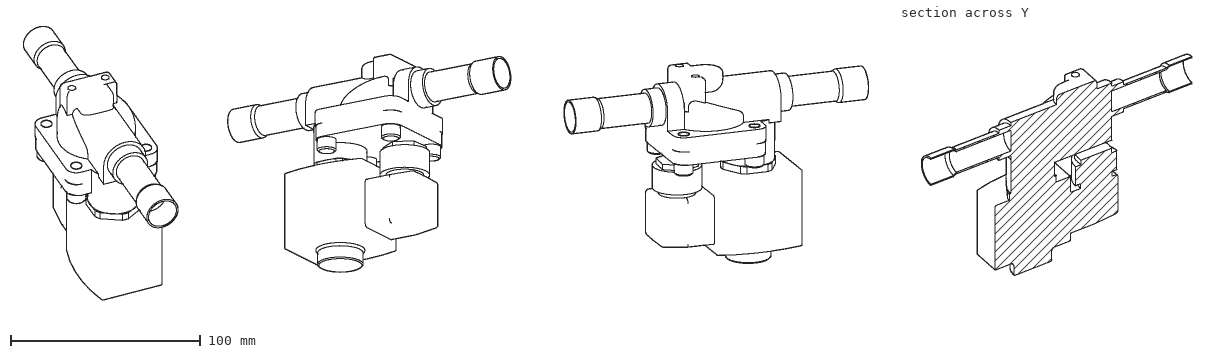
import cadquery as cq
import math


pipe_length = 165.0
socket_length = 14.4
socket_cone_length = 1.8
socket_diameter = 18.0
socket_bore_diameter = 16.0
pipe_diameter = 16.0
pipe_bore_diameter = 13.2

body_right = 32.0
body_left = -body_right
body_radius = 12.0
collar_diameter = 20.0
collar_length = 7.5
step_start = 25.0
step_bottom = -body_radius

flange_size = 52.0
flange_top = -10.0
flange_split = -18.0
flange_bottom = -25.4
flange_x = body_left + flange_size / 2
upper_corner_radius = 6.0
lower_corner_radius = 7.0

screw_spacing = 40.0
screw_shank_diameter = 6.0
screw_end_height = 0.3
screw_head_diameter = 10.0
screw_head_height = 6.5
screw_head_chamfer = 0.8

dome_radius = 20.6
dome_centre_height = 1.8
dome_tilt = 20.0
dome_fillet = 3.0

block_left = -22.6
block_right = -11.5
block_width = 28.5
block_bottom = 0.0
block_top = 18.0
block_fillet = 2.1
tongue_radius = 9.0
gusset_radius = 2.0
pilot_hole_diameter = 4.1
pilot_hole_depth = 4.1
drill_point_angle = 118.0
pilot_hole_centres = [(-17.0, 9.9), (-15.5, -9.9)]

column_x = 18.0
column_radius = body_right - column_x
column_bottom = -34.3
nut_across_flats = 27.4
nut_across_corners = 29.9
coil_top = -38.3
coil_bottom = -80.5
coil_length = 48.2
coil_end_width = 34.3
coil_width = 41.2
coil_edge_fillet = 0.8
stub_diameter = 24.1
stub_flare_diameter = 25.9
stub_flare_height = 1.5
stub_bottom = -89.0
stub_chamfer = 0.7

connector_left = -36.0
connector_bend = -21.1
connector_right = column_x - coil_length / 2
connector_width = 27.4
connector_end_width = 25.0
connector_nose = 0.3
connector_ridge_y = 0.7
connector_top = -48.7
connector_bottom = -75.5
connector_end_bottom = -74.2
connector_fillet = 2.0
gland_x = -22.1
gland_neck_diameter = 20.0
gland_diameter = 26.2
gland_bottom = -45.9
gland_top = -33.3
gland_hex_top = -30.4
gland_hex_across_flats = 19.8
gland_hex_turn = 27.0

overlap = 1.6


def cylinder(x, y, z_low, z_high, diameter):
    return cq.Workplane("XY", origin=(x, y, z_low)).circle(diameter / 2).extrude(z_high - z_low)


def box(x_low, x_high, width, z_low, z_high):
    """Box symmetric about Y = 0."""
    size = (x_high - x_low, width, z_high - z_low)
    return cq.Workplane("XY").box(*size, centered=(False, True, False)).translate((x_low, 0, z_low))


def hexagon(x, z_low, z_high, across_flats, turn=0.0):
    """Hexagonal prism; two corners lie on the X direction before turning."""
    corner_diameter = across_flats / math.cos(math.radians(30))
    prism = cq.Workplane("XY").polygon(6, corner_diameter).extrude(z_high - z_low)
    return prism.rotate((0, 0, 0), (0, 0, 1), turn).translate((x, 0, z_low))


def make_pipe():
    """Right-hand pipe, revolved about X; it ends inside the body."""
    end = pipe_length / 2
    socket_start = end - socket_length
    cone_start = socket_start - socket_cone_length
    outline = [
        (body_right - overlap, 0),
        (body_right - overlap, pipe_diameter / 2),
        (cone_start, pipe_diameter / 2),
        (socket_start, socket_diameter / 2),
        (end, socket_diameter / 2),
        (end, socket_bore_diameter / 2),
        (socket_start, socket_bore_diameter / 2),
        (cone_start, pipe_bore_diameter / 2),
        (body_right, pipe_bore_diameter / 2),
        (body_right, 0),
    ]
    return cq.Workplane("XY").polyline(outline).close().revolve(360, (0, 0, 0), (1, 0, 0))


def make_collar(x_start):
    return (
        cq.Workplane("YZ", origin=(x_start, 0, 0))
        .circle(collar_diameter / 2)
        .circle(pipe_bore_diameter / 2)
        .extrude(collar_length)
    )


def make_body():
    barrel = cq.Workplane("YZ", origin=(body_left, 0, 0)).circle(body_radius).extrude(body_right - body_left)
    lower = box(body_left, body_right, 2 * body_radius, flange_top, 0)
    step = box(step_start, body_right, 2 * body_radius, step_bottom, flange_top)
    return barrel.union(lower).union(step)


def make_flange_plate(z_low, z_high, corner_radius):
    plate = box(body_left, body_left + flange_size, flange_size, z_low, z_high)
    return plate.edges("|Z").fillet(corner_radius)


def make_screw(x, y):
    shank = cylinder(x, y, flange_bottom, flange_top + screw_end_height, screw_shank_diameter)
    head = cylinder(x, y, flange_bottom - screw_head_height, flange_bottom, screw_head_diameter)
    return shank.union(head.faces("<Z").chamfer(screw_head_chamfer))


def make_flange():
    upper = make_flange_plate(flange_split, flange_top, upper_corner_radius)
    lower = make_flange_plate(flange_bottom, flange_split, lower_corner_radius)
    flange = upper.union(lower)
    for x_side in (-1, 1):
        for y_side in (-1, 1):
            x = flange_x + x_side * screw_spacing / 2
            flange = flange.union(make_screw(x, y_side * screw_spacing / 2))
    return flange


def make_dome():
    """Upright cylinder cut by an inclined plane; it stays to the right of the block's left face."""
    rise = dome_radius * math.tan(math.radians(dome_tilt))
    outline = [
        (flange_x - dome_radius, flange_top),
        (flange_x + dome_radius, flange_top),
        (flange_x + dome_radius, dome_centre_height - rise),
        (flange_x - dome_radius, dome_centre_height + rise),
    ]
    wedge = cq.Workplane("XZ").polyline(outline).close().extrude(dome_radius, both=True)
    highest = dome_centre_height + rise
    dome = cylinder(flange_x, 0, flange_top, highest, 2 * dome_radius).intersect(wedge)
    dome = dome.faces(">Z").edges().fillet(dome_fillet)
    return dome.intersect(box(block_left, flange_x + dome_radius, flange_size, flange_top, highest))


def make_pilot_hole(x, y):
    """Blind drilled hole with a conical bottom."""
    radius = pilot_hole_diameter / 2
    point = radius / math.tan(math.radians(drill_point_angle / 2))
    profile = [
        (0, block_top),
        (radius, block_top),
        (radius, block_top - pilot_hole_depth),
        (0, block_top - pilot_hole_depth - point),
    ]
    hole = cq.Workplane("XZ").polyline(profile).close().revolve(360, (0, 0, 0), (0, 1, 0))
    return hole.translate((x, y, 0))


def make_block():
    """Block with a round-ended tongue; one inner corner between them is rounded."""
    block = box(block_left, block_right, block_width, block_bottom, block_top)
    block = block.edges("|Z and <X").fillet(block_fillet)
    tongue = box(block_right - overlap, flange_x, 2 * tongue_radius, block_bottom, block_top)
    tongue_end = cylinder(flange_x, 0, block_bottom, block_top, 2 * tongue_radius)
    block = block.union(tongue).union(tongue_end)

    corner_middle = (block_right, -tongue_radius, (block_bottom + block_top) / 2)
    inner_corner = block.edges("|Z").edges(cq.selectors.NearestToPointSelector(corner_middle))
    block = inner_corner.fillet(gusset_radius)

    top_edges = block.faces(">Z").edges()
    square_middle = (block_right, (tongue_radius + block_width / 2) / 2, block_top)
    square_edge = top_edges.edges(cq.selectors.NearestToPointSelector(square_middle)).val()
    rounded_edges = [edge for edge in top_edges.vals() if not edge.isSame(square_edge)]
    block = top_edges.newObject(rounded_edges).fillet(block_fillet)

    for x, y in pilot_hole_centres:
        block = block.cut(make_pilot_hole(x, y))
    return block


def make_coil():
    left = column_x - coil_length / 2
    right = column_x + coil_length / 2
    half_end = coil_end_width / 2
    half_width = coil_width / 2
    coil = (
        cq.Workplane("XY", origin=(0, 0, coil_bottom))
        .moveTo(left, -half_end)
        .threePointArc((column_x, -half_width), (right, -half_end))
        .lineTo(right, half_end)
        .threePointArc((column_x, half_width), (left, half_end))
        .close()
        .extrude(coil_top - coil_bottom)
    )
    return coil.edges().fillet(coil_edge_fillet)


def make_solenoid():
    column = cylinder(column_x, 0, column_bottom, flange_top, 2 * column_radius)
    nut = hexagon(column_x, coil_top, column_bottom, nut_across_flats)
    nut = nut.intersect(cylinder(column_x, 0, coil_top, column_bottom, nut_across_corners))
    stub = cylinder(column_x, 0, stub_bottom, coil_bottom, stub_diameter).faces("<Z").chamfer(stub_chamfer)
    flare = (
        cq.Workplane("XY", origin=(column_x, 0, coil_bottom))
        .circle(stub_flare_diameter / 2)
        .workplane(offset=-stub_flare_height)
        .circle(stub_diameter / 2)
        .loft()
    )
    return column.union(nut).union(make_coil()).union(stub).union(flare)


def make_connector_prism(plan, elevation):
    """Solid with one outline in XY and another in XZ."""
    upright = (
        cq.Workplane("XY", origin=(0, 0, connector_bottom))
        .polyline(plan)
        .close()
        .extrude(connector_top - connector_bottom)
    )
    across = cq.Workplane("XZ").polyline(elevation).close().extrude(connector_width / 2, both=True)
    return upright.intersect(across)


def make_housing():
    """Straight part by the coil and a part tapering to a slightly pointed end, all edges rounded."""
    straight = box(connector_bend, connector_right, connector_width, connector_bottom, connector_top)
    straight = straight.edges("|X").fillet(connector_fillet)

    half_width = connector_width / 2
    half_end = connector_end_width / 2
    plan = [
        (connector_bend, -half_width),
        (connector_left + connector_nose, -half_end),
        (connector_left, connector_ridge_y),
        (connector_left + connector_nose, half_end),
        (connector_bend, half_width),
    ]
    elevation = [
        (connector_bend, connector_top),
        (connector_left, connector_top),
        (connector_left, connector_end_bottom),
        (connector_bend, connector_bottom),
    ]
    tapered = make_connector_prism(plan, elevation)

    outer_edges = []
    for edge in tapered.edges().vals():
        middle = edge.Center()
        on_joint = middle.x > connector_bend - overlap
        on_ridge = abs(middle.y) < overlap
        if not on_joint and not on_ridge:
            outer_edges.append(edge)
    tapered = tapered.newObject(outer_edges).fillet(connector_fillet)
    return straight.union(tapered)


def make_connector():
    """Housing with a cable gland on top."""
    neck = cylinder(gland_x, 0, connector_top, gland_bottom, gland_neck_diameter)
    gland = cylinder(gland_x, 0, gland_bottom, gland_top, gland_diameter)
    gland_hex = hexagon(gland_x, gland_top, gland_hex_top, gland_hex_across_flats, gland_hex_turn)
    return make_housing().union(neck).union(gland).union(gland_hex)


right_pipe = make_pipe()
left_pipe = right_pipe.mirror("YZ")

result = make_body()
for feature in (
    right_pipe,
    left_pipe,
    make_collar(body_left - collar_length),
    make_collar(body_right),
    make_flange(),
    make_dome(),
    make_block(),
    make_solenoid(),
    make_connector(),
):
    result = result.union(feature)